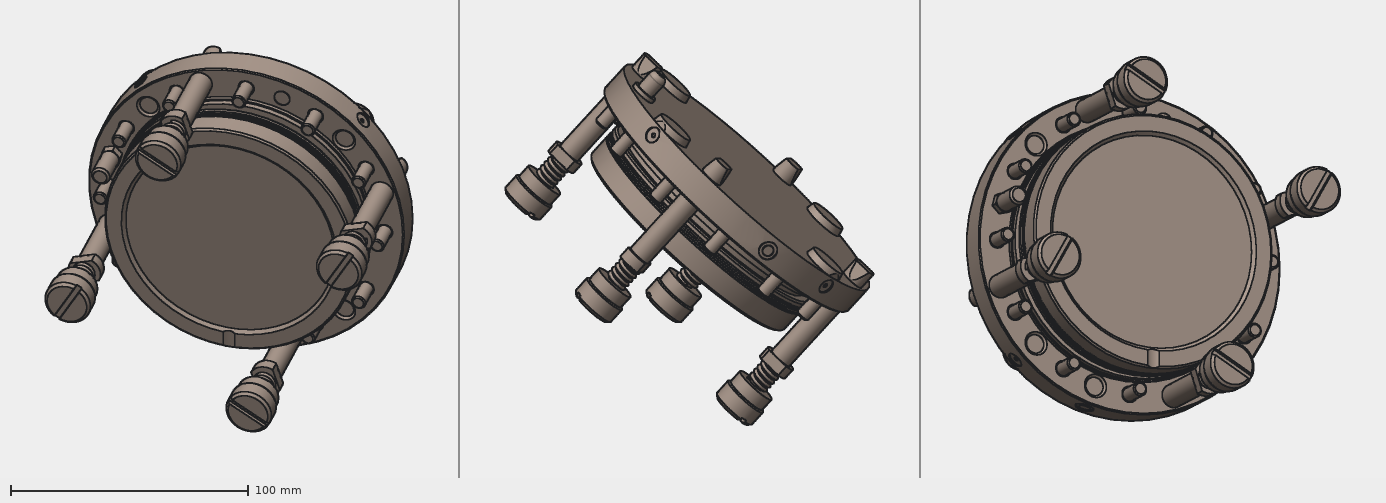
import cadquery as cq
import math


flange_diameter = 139.0
flange_thickness = 13.0
flange_chamfer = 0.5
bolt_circle_radius = 61.0

shoulder_radius = 55.7
shoulder_front = -2.0
body_radius = 110.0 / 2
waist_radius = 50.6
waist_back = -4.7
waist_front = -8.0
groove_radius = body_radius - 0.8
groove_width = 1.0
back_groove_start = -10.6
front_groove_start = -13.4
land_step = -12.4
land_radius = body_radius - 0.4
body_front = -24.7
body_chamfer = 0.8

window_radius = 47.5
window_depth = 1.5
index_groove_diameter = 5.2
index_groove_depth = 0.7

screw_across = 59.78
screw_along = 20.0
screw_radius = math.hypot(screw_across, screw_along)
screw_angle = math.degrees(math.atan2(screw_along, screw_across))
post_diameter = 10.0
post_back = 20.8
tail_flat_length = 7.3
tail_flat_offset = 3.42
collar_diameter = 14.2
collar_back = -32.4
collar_front = -37.5
collar_flats = 10.0
stem_diameter = 6.8
stem_overlap = 1.4
stem_seam_angle = 77
wire_diameter = 1.8
spring_outer_diameter = 10.0
spring_pitch = 2.29
knob_back = -48.0
knob_neck_diameter = 18.0
knob_diameter = 20.0
knob_step = -53.9
knob_front = -62.8
knob_chamfer = 1.3
knob_step_chamfer = 0.7
slot_width = 2.5
slot_depth = 2.0
slot_angle = 42

short_pin_count = 12
short_pin_diameter = 6.0
short_pin_front = -11.3
short_pin_chamfer = 0.63
pin_clearance_diameter = 6.8
pin_clearance_depth = 0.5

countersink_diameter = 10.0
countersink_floor_diameter = 8.0
boss_angles = (45, 135, 225, 315)
countersink_angles = boss_angles + (255,)
plug_angle = 75
plug_diameter = 6.8
plug_depth = 0.3

boss_diameter = 18.0
boss_tip_diameter = 16.3
boss_height = 3.3
boss_rim_gap = 0.1

set_screw_y = 8.4
set_screw_diameter = 6.8
set_screw_depth = 0.7
set_screw_socket_diameter = 1.8
rim_port_angle = 255
rim_port_diameter = 8.0
rim_port_core_diameter = 4.7
rim_port_depth = 0.7

locating_pin_diameter = 8.0
front_pin_angle = 165
front_pin_hex_length = 3.6
front_pin_front = -17.9
front_pin_chamfer = 1.0
back_pin_angle = -15
back_pin_collar_diameter = 11.0
back_pin_collar_height = 2.0
back_pin_shoulder = 21.6
back_pin_tip = 24.4
back_pin_tip_diameter = 4.2
back_pin_nose_bulge = 0.4


def rod(diameter, y_from, y_to, offset=0):
    """Cylinder parallel to Y, centred on X = offset."""
    profile = cq.Workplane("XZ", origin=(offset, y_from, 0)).circle(diameter / 2)
    return profile.extrude(y_from - y_to)


def rim_rod(diameter, y, depth):
    """Radial cylinder on the +X axis that sinks to a depth below the rim."""
    floor = flange_diameter / 2 - depth
    return cq.Workplane("YZ", origin=(floor, y, 0)).circle(diameter / 2).extrude(2 * depth)


def swing(shape, angle):
    """Turn a shape around the main axis, from +X toward +Z."""
    return shape.rotate((0, 0, 0), (0, -1, 0), angle)


def make_body():
    """Flange and central stack, turned around the main axis."""
    flange_radius = flange_diameter / 2
    back_groove_end = back_groove_start - groove_width
    front_groove_end = front_groove_start - groove_width
    outline = [
        (0, flange_thickness),
        (flange_radius, flange_thickness),
        (flange_radius, flange_chamfer),
        (flange_radius - flange_chamfer, 0),
        (shoulder_radius, 0),
        (shoulder_radius, shoulder_front),
        (body_radius, shoulder_front),
        (body_radius, waist_back),
        (waist_radius, waist_back),
        (waist_radius, waist_front),
        (body_radius - body_chamfer, waist_front),
        (body_radius, waist_front - body_chamfer),
        (body_radius, back_groove_start),
        (groove_radius, back_groove_start),
        (groove_radius, back_groove_end),
        (land_radius, back_groove_end),
        (land_radius, land_step),
        (body_radius, land_step),
        (body_radius, front_groove_start),
        (groove_radius, front_groove_start),
        (groove_radius, front_groove_end),
        (body_radius, front_groove_end),
        (body_radius, body_front + body_chamfer),
        (body_radius - body_chamfer, body_front),
        (window_radius, body_front),
        (window_radius - window_depth, body_front + window_depth),
        (0, body_front + window_depth),
    ]
    return cq.Workplane("XY").polyline(outline).close().revolve(360, (0, 0, 0), (0, 1, 0))


def make_index_groove():
    """Shallow round-bottomed groove from the window to the bottom of the body."""
    start = window_radius - window_depth
    half_width = index_groove_diameter / 2
    arc = cq.Workplane("XY", origin=(0, body_front, -start)).moveTo(-half_width, 0)
    section = arc.threePointArc((0, index_groove_depth), (half_width, 0)).close()
    return section.extrude(start - shoulder_radius)


def make_sprung_stem():
    """Stem with a left-hand coil on it, between the collar and the knob."""
    coil_radius = (spring_outer_diameter - wire_diameter) / 2
    height = collar_front - knob_back
    path = cq.Wire.makeHelix(spring_pitch, height, coil_radius, lefthand=True)
    wire = cq.Workplane("XZ").center(coil_radius, 0).circle(wire_diameter / 2)
    coil = wire.sweep(cq.Workplane(obj=path), isFrenet=True)
    stem = cq.Workplane("XY", origin=(0, 0, -stem_overlap)).circle(stem_diameter / 2)
    stem = stem.extrude(height + 2 * stem_overlap).rotate((0, 0, 0), (0, 0, 1), stem_seam_angle)
    sprung_stem = coil.union(stem)
    return sprung_stem.rotate((0, 0, 0), (1, 0, 0), 90).translate((screw_radius, collar_front, 0))


def make_tail_flats():
    """Two wedges that taper the back end of a post."""
    radius = post_diameter / 2
    slope = (radius - tail_flat_offset) / tail_flat_length
    wedge = (
        cq.Workplane("YZ", origin=(screw_radius, 0, 0))
        .polyline([
            (post_back - tail_flat_length, radius),
            (post_back + tail_flat_length, tail_flat_offset - slope * tail_flat_length),
            (post_back + tail_flat_length, radius),
        ])
        .close()
        .extrude(post_diameter, both=True)
    )
    return wedge.union(wedge.mirror("XY"))


def make_knob():
    """Stepped, chamfered and slotted thumb knob."""
    neck = rod(knob_neck_diameter, knob_back, knob_step, screw_radius)
    head = rod(knob_diameter, knob_step, knob_front, screw_radius)
    head = head.faces("<Y").chamfer(knob_chamfer).faces(">Y").chamfer(knob_step_chamfer)
    slot = (
        cq.Workplane("XY")
        .box(2 * knob_diameter, 2 * slot_depth, slot_width)
        .rotate((0, 0, 0), (0, -1, 0), slot_angle)
        .translate((screw_radius, knob_front, 0))
    )
    return neck.union(head).cut(slot)


def make_screw():
    """Post, flatted collar, stem, spring and knob on one axis."""
    post = rod(post_diameter, post_back, collar_back, screw_radius).cut(make_tail_flats())
    middle = (collar_back + collar_front) / 2
    flats = cq.Workplane("XY").box(2 * collar_diameter, collar_diameter, collar_flats)
    flats = flats.translate((screw_radius, middle, 0))
    collar = rod(collar_diameter, collar_back, collar_front, screw_radius).intersect(flats)
    return make_sprung_stem().union(post.union(collar)).union(make_knob())


def make_short_pin():
    """Short chamfered pin standing in front of the flange."""
    pin = rod(short_pin_diameter, flange_thickness / 2, short_pin_front, bolt_circle_radius)
    return pin.faces("<Y").chamfer(short_pin_chamfer)


def make_countersink():
    """Conical recess with a flat floor in the front face of the flange."""
    depth = (countersink_diameter - countersink_floor_diameter) / 2
    recess = rod(countersink_diameter, depth, 0, bolt_circle_radius)
    return recess.faces(">Y").chamfer(depth * 0.999)


def make_boss():
    """Tapered boss trimmed where it would overhang the rim."""
    flare = math.degrees(math.atan2((boss_diameter - boss_tip_diameter) / 2, boss_height))
    base = cq.Workplane("XZ", origin=(bolt_circle_radius, flange_thickness, 0)).circle(boss_diameter / 2)
    boss = base.extrude(-boss_height, taper=flare)
    return boss.intersect(rod(flange_diameter - 2 * boss_rim_gap, 0, flange_thickness + 2 * boss_height))


def make_set_screw_recess():
    """Sunken set screw face with a small socket."""
    face = rim_rod(set_screw_diameter, set_screw_y, set_screw_depth)
    return face.union(rim_rod(set_screw_socket_diameter, set_screw_y, 2 * set_screw_depth))


def make_rim_port():
    """Ring-shaped recess around a plug in the rim."""
    middle = flange_thickness / 2
    recess = rim_rod(rim_port_diameter, middle, rim_port_depth)
    return recess.cut(rim_rod(rim_port_core_diameter, middle, rim_port_depth))


def make_front_pin():
    """Locating pin with a hexagonal root, in front of the flange."""
    hexagon = (
        cq.Workplane("XZ", origin=(bolt_circle_radius, 0, 0))
        .polygon(6, locating_pin_diameter, circumscribed=True)
        .extrude(front_pin_hex_length)
    )
    shank = rod(locating_pin_diameter, 0, front_pin_front, bolt_circle_radius)
    return hexagon.union(shank.faces("<Y").chamfer(front_pin_chamfer))


def make_back_pin():
    """Round-nosed locating pin with a collar, behind the flange."""
    collar_top = flange_thickness + back_pin_collar_height
    radius = locating_pin_diameter / 2
    tip_radius = back_pin_tip_diameter / 2
    nose = (
        (radius + tip_radius) / 2 + back_pin_nose_bulge,
        (back_pin_shoulder + back_pin_tip) / 2 + back_pin_nose_bulge,
    )
    pin = (
        cq.Workplane("XY")
        .moveTo(0, flange_thickness)
        .lineTo(back_pin_collar_diameter / 2, flange_thickness)
        .lineTo(back_pin_collar_diameter / 2, collar_top)
        .lineTo(radius, collar_top)
        .lineTo(radius, back_pin_shoulder)
        .threePointArc(nose, (tip_radius, back_pin_tip))
        .lineTo(0, back_pin_tip)
        .close()
        .revolve(360, (0, 0, 0), (0, 1, 0))
    )
    return pin.translate((bolt_circle_radius, 0, 0))


result = make_body().cut(make_index_groove())

countersink = make_countersink()
for angle in countersink_angles:
    result = result.cut(swing(countersink, angle))
result = result.cut(swing(rod(plug_diameter, plug_depth, 0, bolt_circle_radius), plug_angle))

boss = make_boss()
for angle in boss_angles:
    result = result.union(swing(boss, angle))

set_screw_recess = make_set_screw_recess()
for angle in boss_angles:
    result = result.cut(swing(set_screw_recess, angle))
result = result.cut(swing(make_rim_port(), rim_port_angle))

short_pin = make_short_pin()
clearance = rod(pin_clearance_diameter, pin_clearance_depth, 0, bolt_circle_radius)
for i in range(short_pin_count):
    angle = i * 360 / short_pin_count
    result = result.cut(swing(clearance, angle)).union(swing(short_pin, angle))

result = result.union(swing(make_front_pin(), front_pin_angle))
result = result.union(swing(make_back_pin(), back_pin_angle))

screw = make_screw()
for quarter in range(4):
    result = result.union(swing(screw, screw_angle + 90 * quarter))